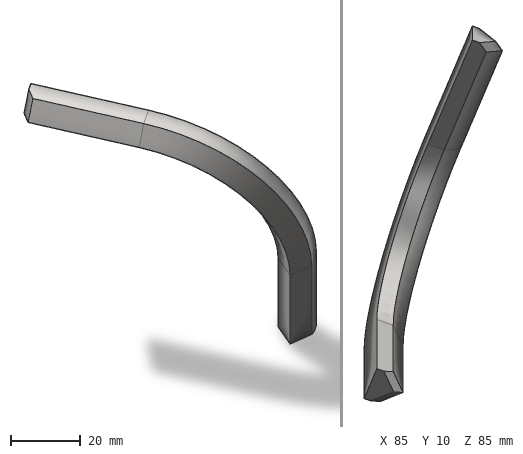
import cadquery as cq

overall = 85.0
bar_width = 10.0
outer_radius = 50.0
end_chamfer = 2.0

half_width = bar_width / 2
leg_length = overall - outer_radius
bend_radius = outer_radius - half_width

section = [
    (-half_width, half_width),
    (-half_width, 0),
    (0, -half_width),
    (half_width, 0),
    (half_width, half_width),
]

bend_x = leg_length
bend_z = leg_length
centre_top = bend_z + bend_radius
centre_right = bend_x + bend_radius


def horizontal_leg():
    points = [(y, centre_top + across) for across, y in section]
    return cq.Workplane("YZ").polyline(points).close().extrude(leg_length)


def vertical_leg():
    points = [(centre_right + across, y) for across, y in section]
    return cq.Workplane("XY").polyline(points).close().extrude(leg_length)


def bend():
    points = [(bend_radius + across, y) for across, y in section]
    quarter = cq.Workplane("XY").polyline(points).close().revolve(90, (0, 0), (0, -1))
    return quarter.translate((bend_x, 0, bend_z))


def chamfer_end(bar, face_selector, edge_selector):
    return bar.faces(face_selector).edges(edge_selector).chamfer(end_chamfer)


bar = horizontal_leg().union(bend()).union(vertical_leg())
bar = chamfer_end(bar, "<X", "not (|Y or |Z)")
bar = chamfer_end(bar, "<Z", "not (|X or |Y)")

result = bar